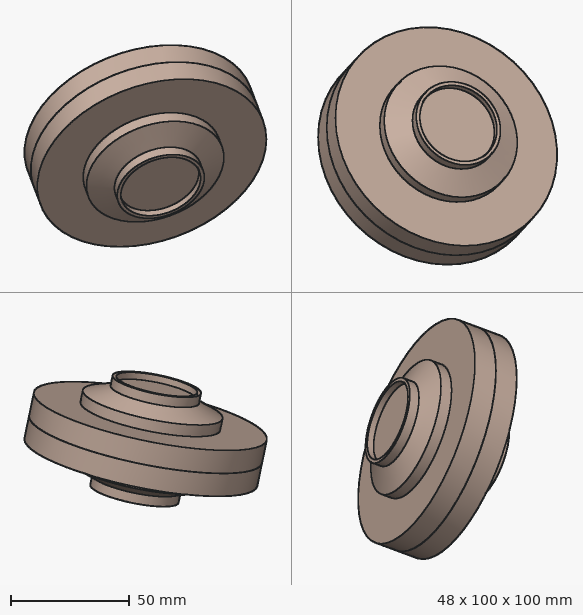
import cadquery as cq

flange_radius = 50.0
hub_radius = 30.0
neck_radius = 19.0
recess_radius = 17.4

joint_gap = 0.1
joint_face = joint_gap / 2
flange_face = 10.1
shoulder_end = 15.2
cone_end = 19.6
neck_end = 24.0

recess_depth = 3.0


def make_flange_half(side):
    """Revolve one blind hub flange; side is -1 or +1 along X."""
    recess_floor = neck_end - recess_depth
    profile = [
        (joint_face, 0),
        (joint_face, flange_radius),
        (flange_face, flange_radius),
        (flange_face, hub_radius),
        (shoulder_end, hub_radius),
        (cone_end, neck_radius),
        (neck_end, neck_radius),
        (neck_end, recess_radius),
        (recess_floor, recess_radius),
        (recess_floor, 0),
    ]
    outline = [(side * distance, radius) for distance, radius in profile]
    return cq.Workplane("XY").polyline(outline).close().revolve(360, (0, 0, 0), (1, 0, 0))


flange_halves = [make_flange_half(side).val() for side in (-1, 1)]

result = cq.Compound.makeCompound(flange_halves)